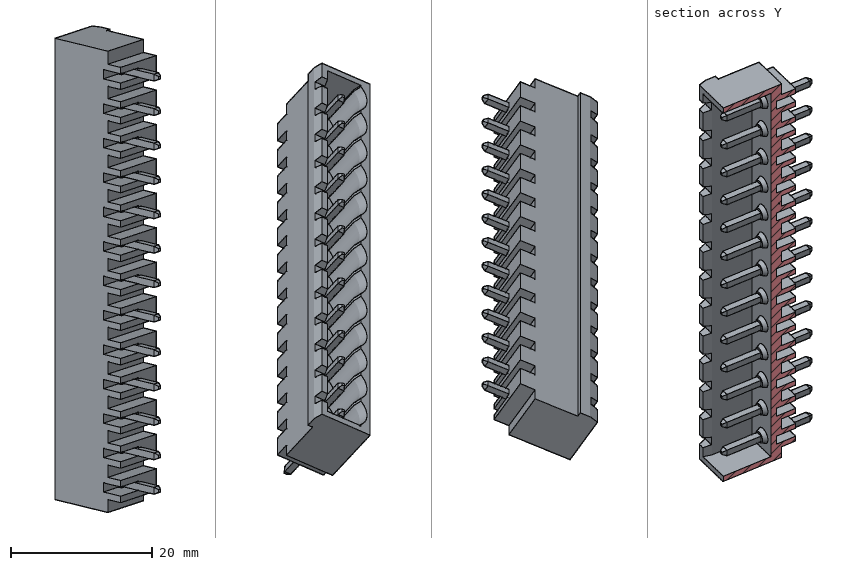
import cadquery as cq

length = 68.05
pin_count = 13
end_wall = 1.0
pitch = (length - 2 * end_wall) / pin_count
pin_levels = [end_wall + (i + 0.5) * pitch for i in range(pin_count)]

body_depth = 9.85
body_width = 7.75
pin_y = 3.9

lip_width = 8.5
lip_edge_y = 8.1
lip_ramp = 1.35
lip_depth = 3.0

cavity_depth = 8.0
flat_wall_y = 6.8
scallop_peak_y = 0.9
scallop_valley_y = 1.9
scallop_gap = 0.55
mouth_flare = 0.35
flare_depth = 1.35

notch_floor_height = 1.35
notch_depth = 1.2
notch_mouth_height = 1.8

tab_depth = 2.4
tab_height = 3.25
slot_height = 1.35
slot_floor_x = 9.05

pin_size = 1.0
pin_start = 0.95
pin_end = 16.2
pin_taper = 0.6
pin_tip_size = 0.4
shoulder_end = 9.65

collar_base = 2.45
collar_top = 1.8
collar_height = 0.7


def box(x0, x1, y0, y1, z0, z1):
    return cq.Workplane("XY").box(x1 - x0, y1 - y0, z1 - z0, centered=False).translate((x0, y0, z0))


def make_body():
    """Housing section with the ramped latch lip, extruded along Z."""
    return (
        cq.Workplane("XY")
        .moveTo(0, 0)
        .lineTo(body_depth, 0)
        .lineTo(body_depth, body_width)
        .lineTo(lip_depth, body_width)
        .lineTo(lip_depth, lip_width)
        .lineTo(lip_ramp, lip_width)
        .lineTo(0, lip_edge_y)
        .close()
        .extrude(length)
    )


def draw_cavity(plane, flare):
    """Cavity outline, with both long walls moved outward by the flare."""
    wall_y = flat_wall_y + flare
    valley_y = scallop_valley_y - flare
    peak_y = scallop_peak_y - flare
    half_scallop = (pitch - scallop_gap) / 2
    outline = plane.moveTo(wall_y, end_wall).lineTo(valley_y, end_wall)
    for z in pin_levels:
        outline = outline.lineTo(valley_y, z - half_scallop)
        outline = outline.threePointArc((peak_y, z), (valley_y, z + half_scallop))
    outline = outline.lineTo(valley_y, length - end_wall)
    return outline.lineTo(wall_y, length - end_wall).close()


def make_cavity():
    """Straight cavity plus the flared lead-in at its mouth."""
    straight = draw_cavity(cq.Workplane("YZ"), 0).extrude(cavity_depth)
    mouth = draw_cavity(cq.Workplane("YZ"), mouth_flare)
    lead_in = draw_cavity(mouth.workplane(offset=flare_depth, origin=(0, 0, 0)), 0).loft(ruled=True)
    return straight.union(lead_in)


def make_notch(z):
    """Notch whose sides widen toward the mouth."""
    return (
        cq.Workplane("XZ", origin=(0, lip_width, z))
        .moveTo(0, -notch_mouth_height / 2)
        .lineTo(notch_depth, -notch_floor_height / 2)
        .lineTo(notch_depth, notch_floor_height / 2)
        .lineTo(0, notch_mouth_height / 2)
        .close()
        .extrude(lip_width - flat_wall_y)
    )


def make_tab(z):
    return box(body_depth, body_depth + tab_depth, 0, body_width, z - tab_height / 2, z + tab_height / 2)


def make_slot(z):
    return box(slot_floor_x, body_depth + tab_depth, 0, pin_y, z - slot_height / 2, z + slot_height / 2)


def make_pin(z):
    """Square pin with both ends tapered and a shoulder at the slot floor."""
    shank = (
        cq.Workplane("YZ", origin=(pin_start + pin_taper, pin_y, z))
        .rect(pin_size, pin_size)
        .extrude(pin_end - pin_start - 2 * pin_taper)
    )
    taper = (
        cq.Workplane("YZ")
        .rect(pin_size, pin_size)
        .workplane(offset=pin_taper)
        .rect(pin_tip_size, pin_tip_size)
        .loft()
    )
    outer_tip = taper.translate((pin_end - pin_taper, pin_y, z))
    inner_tip = taper.mirror("YZ").translate((pin_start + pin_taper, pin_y, z))
    shoulder = (
        cq.Workplane("YZ", origin=(slot_floor_x, pin_y, z))
        .rect(slot_height, slot_height)
        .extrude(shoulder_end - slot_floor_x)
    )
    return shank.union(outer_tip).union(inner_tip).union(shoulder)


def make_collar(z):
    return (
        cq.Workplane("YZ", origin=(cavity_depth, pin_y, z))
        .circle(collar_base / 2)
        .workplane(offset=-collar_height)
        .circle(collar_top / 2)
        .loft()
    )


result = make_body().cut(make_cavity())
for level in pin_levels:
    result = result.cut(make_notch(level)).union(make_tab(level)).cut(make_slot(level))
    result = result.union(make_collar(level)).union(make_pin(level))